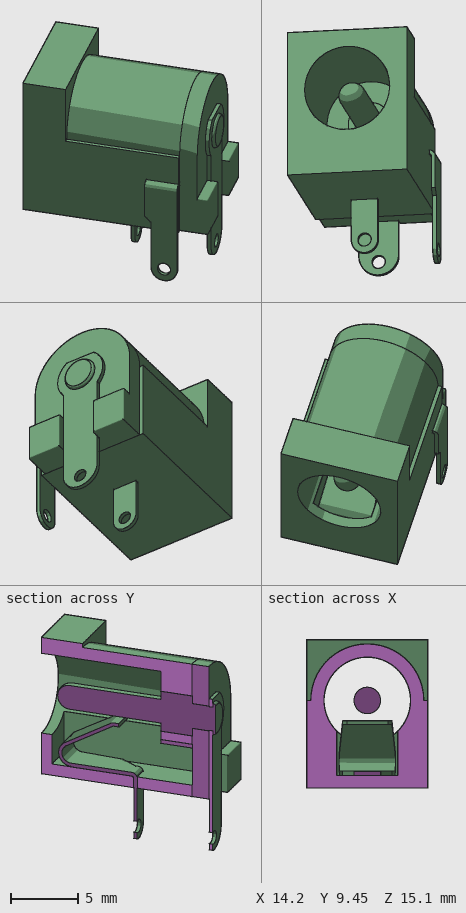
import cadquery as cq
import math


width = 9.0
height = 11.0
flange_length = 3.3
housing_length = 12.0
axis_z = 6.5
shell_radius = 4.2
barrel_diameter = 6.4
barrel_depth = 9.5

sheet = 0.3
bend_radius = sheet
terminal_bottom = -4.1
eye_diameter = 1.0
eye_z = -3.1

cover_rear = 13.35
foot_rear = 14.2
foot_height = 3.0
foot_round = 0.1

rear_strap_width = 3.0
rear_pad_radius = 2.0
rear_pad_flat = 1.6

pin_diameter = 2.0
pin_tip_x = 1.25
collar_diameter = 3.2
head_diameter = 2.6
head_length = 0.25
head_end_diameter = 2.3

side_strap_width = 2.0
side_plate_front = 9.5
side_plate_y = -4.8
side_leg_top = 4.2
side_notch_top = 1.3

spring_strap_width = 2.0
spring_strap_x = 7.5
spring_base_z = 0.95
spring_fold_radius = 0.85
spring_top = 5.0
spring_angle = math.radians(30)
spring_fold_x = 2.35
spring_lip_length = 0.5
spring_front_width = 4.2
spring_apex_width = 3.66
spring_taper_end = 7.0

pocket_front = 0.85
pocket_width = 4.5


def box(x_range, y_range, z_range):
    """Box between the given limits."""
    size = [high - low for low, high in (x_range, y_range, z_range)]
    corner = (x_range[0], y_range[0], z_range[0])
    return cq.Workplane(cq.Solid.makeBox(*size, pnt=cq.Vector(*corner)))


def rod(diameter, x_start, x_end):
    """Cylinder on the barrel axis."""
    plane = cq.Workplane("YZ", origin=(x_start, 0, axis_z))
    return plane.circle(diameter / 2).extrude(x_end - x_start)


def arch(x_start, x_end):
    """Rear shell: straight sides below the axis and a half round above."""
    return (
        cq.Workplane("YZ", origin=(x_start, 0, 0))
        .moveTo(-shell_radius, 0)
        .lineTo(-shell_radius, axis_z)
        .threePointArc((0, axis_z + shell_radius), (shell_radius, axis_z))
        .lineTo(shell_radius, 0)
        .close()
        .extrude(x_end - x_start)
    )


def strap(strap_width, top):
    """Upright strip in the YZ plane, centred on X = 0, with a round end and an eye."""
    radius = strap_width / 2
    end_z = terminal_bottom + radius
    plane = cq.Workplane("YZ", origin=(-sheet / 2, 0, 0))
    strip = plane.center(0, (top + end_z) / 2).rect(strap_width, top - end_z).extrude(sheet)
    round_end = plane.center(0, end_z).circle(radius).extrude(sheet)
    eye = plane.center(0, eye_z).circle(eye_diameter / 2).extrude(sheet)
    return strip.union(round_end).cut(eye)


def bent_sheet(points, radii, across, strip_width):
    """Strip swept along a middle line that starts upright.

    `radii` are the bend radii at the inner points and `across` is the width direction.
    """
    path = cq.Wire.makePolygon([cq.Vector(*p) for p in points])
    for point, radius in zip(points[1:-1], radii):
        corner = min(path.Vertices(), key=lambda v: (v.Center() - cq.Vector(*point)).Length)
        path = path.fillet(radius, [corner])
    plane = cq.Plane(origin=points[0], xDir=across, normal=(0, 0, 1))
    return cq.Workplane(plane).rect(strip_width, sheet).sweep(cq.Workplane(path))


def make_rear_terminal():
    x_end = cover_rear + sheet
    pad = rod(2 * rear_pad_radius, cover_rear, x_end)
    pad_limits = box((cover_rear, x_end), (-rear_pad_radius, rear_pad_radius), (0, axis_z + rear_pad_flat))
    blade = strap(rear_strap_width, axis_z).translate((cover_rear + sheet / 2, 0, 0))
    return blade.union(pad.intersect(pad_limits)).cut(rod(pin_diameter, cover_rear, x_end))


def make_pin():
    radius = pin_diameter / 2
    head_front = cover_rear + sheet
    ball_x = pin_tip_x + radius
    ball = cq.Workplane("YZ", origin=(ball_x, 0, axis_z)).sphere(radius)
    head_rear = head_front + head_length
    drop = (head_diameter - head_end_diameter) / 2
    arc_radius = (head_length**2 + drop**2) / (2 * drop)
    half_turn = math.asin(head_length / arc_radius) / 2
    head_middle = (
        head_front + arc_radius * math.sin(half_turn),
        head_diameter / 2 - arc_radius * (1 - math.cos(half_turn)),
    )
    head = (
        cq.Workplane("XZ", origin=(0, 0, axis_z))
        .moveTo(head_front, 0)
        .lineTo(head_front, head_diameter / 2)
        .threePointArc(head_middle, (head_rear, head_end_diameter / 2))
        .lineTo(head_rear, 0)
        .close()
        .revolve(360, (0, 0, 0), (1, 0, 0))
    )
    return (
        rod(pin_diameter, ball_x, head_front)
        .union(ball)
        .union(rod(collar_diameter, barrel_depth, housing_length))
        .union(head)
    )


def make_cover():
    cover = arch(housing_length, cover_rear).cut(rod(pin_diameter, housing_length, cover_rear))
    inner = rear_strap_width / 2
    near_foot = box((cover_rear, foot_rear), (-shell_radius, -inner), (0, foot_height))
    near_foot = near_foot.edges("|X and >Z and <Y").fillet(foot_round)
    far_foot = box((cover_rear, foot_rear), (inner, shell_radius), (0, foot_height))
    for foot in (near_foot, far_foot):
        foot = foot.faces(">X").edges().fillet(foot_round)
        cover = cover.union(foot)
    return cover


def make_side_terminal():
    leg_z = side_leg_top - sheet / 2
    mid_x = (side_plate_front + housing_length) / 2
    strap_front = housing_length - side_strap_width
    notch = strap_front - side_plate_front
    path = [
        (mid_x, side_plate_y, side_notch_top - notch),
        (mid_x, side_plate_y, leg_z),
        (mid_x, pocket_width / 2, leg_z),
    ]
    plate = bent_sheet(path, [bend_radius], (1, 0, 0), housing_length - side_plate_front)
    blade = (
        strap(side_strap_width, side_notch_top)
        .rotate((0, 0, 0), (0, 0, 1), 90)
        .translate((housing_length - side_strap_width / 2, side_plate_y, 0))
    )
    corner = (
        cq.Workplane("XZ", origin=(0, side_plate_y + sheet / 2, 0))
        .moveTo(side_plate_front, side_notch_top)
        .lineTo(strap_front, side_notch_top - notch)
        .lineTo(side_plate_front, side_notch_top - notch)
        .close()
        .extrude(sheet)
    )
    return plate.cut(corner).union(blade)


def make_spring():
    base_z = spring_base_z + sheet / 2
    lip_z = spring_top - sheet / 2
    corner_x = spring_fold_x - spring_fold_radius / math.tan(spring_angle / 2)
    apex_x = corner_x + (lip_z - base_z) / math.tan(spring_angle)
    path = [
        (spring_strap_x, 0, 0),
        (spring_strap_x, 0, base_z),
        (corner_x, 0, base_z),
        (apex_x, 0, lip_z),
        (apex_x + spring_lip_length, 0, lip_z),
    ]
    leaf = bent_sheet(path, [bend_radius, spring_fold_radius, bend_radius], (0, 1, 0), spring_front_width)
    fold_front = spring_fold_x - spring_fold_radius - sheet / 2
    rear_x = spring_strap_x + sheet / 2
    half_outline = [
        (fold_front, spring_front_width / 2),
        (apex_x, spring_apex_width / 2),
        (spring_taper_end, spring_strap_width / 2),
        (rear_x, spring_strap_width / 2),
    ]
    other_half = [(x, -y) for x, y in reversed(half_outline)]
    outline = cq.Workplane("XY").polyline(half_outline + other_half).close().extrude(spring_top)
    blade = strap(spring_strap_width, spring_base_z / 2).translate((spring_strap_x, 0, 0))
    return leaf.intersect(outline).union(blade)


def make_housing(spring):
    half = width / 2
    housing = (
        box((0, flange_length), (-half, half), (0, height))
        .union(box((0, housing_length), (-half, half), (0, axis_z)))
        .union(arch(0, housing_length))
    )
    pocket = box(
        (pocket_front, housing_length),
        (-pocket_width / 2, pocket_width / 2),
        (spring_base_z, side_leg_top),
    )
    leg_slot = box((side_plate_front, housing_length), (-half, 0), (side_leg_top - sheet, side_leg_top))
    cutters = [
        rod(barrel_diameter, 0, barrel_depth),
        rod(collar_diameter, barrel_depth, housing_length),
        pocket,
        leg_slot,
        spring,
    ]
    for cutter in cutters:
        housing = housing.cut(cutter)
    return housing


cover = make_cover()
pin = make_pin()
rear_terminal = make_rear_terminal()
side_terminal = make_side_terminal()
spring = make_spring()
housing = make_housing(spring)

bodies = [housing, cover, pin, rear_terminal, side_terminal, spring]
result = cq.Compound.makeCompound([body.solids().val() for body in bodies])